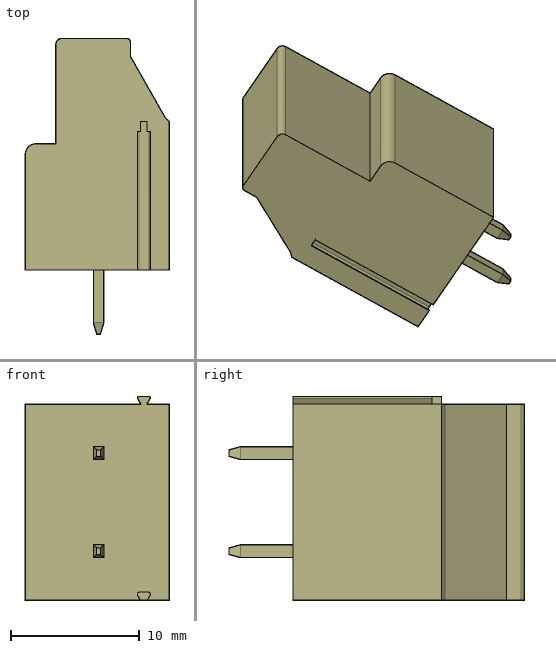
import cadquery as cq

TOTAL_LENGTH = 23

HOUSING_WIDTH = 11.2
HOUSING_DEPTH = 18.0
HOUSING_HEIGHT = 15.25
SHOULDER_WIDTH = 2.37
SHOULDER_DEPTH = 9.82
SHOULDER_RADIUS = 0.83
TOWER_RIGHT = 8.19
TOWER_LEFT_RADIUS = 0.48
TOWER_RIGHT_RADIUS = 0.3
SLOPE_REAR = 16.6
SLOPE_FRONT = (10.9, 11.82)
SIDE_REAR = 11.55

DOVETAIL_X = 9.22
DOVETAIL_LENGTH = 10.79
TONGUE_LENGTH = 11.55
RAIL_HEIGHT = 0.6
RAIL_NECK = 0.5
RAIL_TOP = 1.17
RAIL_RADIUS = 0.12
GROOVE_HEIGHT = 0.65
GROOVE_MOUTH = 0.55
GROOVE_TOP = 1.26
GROOVE_RADIUS = 0.18

POLES = 2
PITCH = HOUSING_HEIGHT / POLES
PIN_X = 5.7
PIN_WIDTH = 0.83
PIN_HEIGHT = 1.01
PIN_LENGTH = TOTAL_LENGTH - HOUSING_DEPTH
TIP_LENGTH = 0.9
TIP_WIDTH = 0.3
TIP_HEIGHT = 0.5


def make_housing():
    """Stepped block with a sloped +X rear corner."""
    outline = [
        (0, 0),
        (HOUSING_WIDTH, 0),
        (HOUSING_WIDTH, SIDE_REAR),
        SLOPE_FRONT,
        (TOWER_RIGHT, SLOPE_REAR),
        (TOWER_RIGHT, HOUSING_DEPTH),
        (SHOULDER_WIDTH, HOUSING_DEPTH),
        (SHOULDER_WIDTH, SHOULDER_DEPTH),
        (0, SHOULDER_DEPTH),
    ]
    housing = cq.Workplane("XY").polyline(outline).close().extrude(HOUSING_HEIGHT)
    rounded_corners = [
        (0, SHOULDER_DEPTH, SHOULDER_RADIUS),
        (SHOULDER_WIDTH, HOUSING_DEPTH, TOWER_LEFT_RADIUS),
        (TOWER_RIGHT, HOUSING_DEPTH, TOWER_RIGHT_RADIUS),
    ]
    for x, y, radius in rounded_corners:
        corner = cq.selectors.NearestToPointSelector((x, y, HOUSING_HEIGHT / 2))
        housing = housing.edges("|Z").edges(corner).fillet(radius)
    return housing


def make_dovetail(base_z, neck, top, height, radius):
    """Bar along Y that widens from its neck to a top with rounded edges."""
    outline = [
        (-neck / 2, 0),
        (neck / 2, 0),
        (top / 2, height),
        (-top / 2, height),
    ]
    bar = cq.Workplane("XZ").polyline(outline).close().extrude(-DOVETAIL_LENGTH)
    bar = bar.edges("|Y and >Z").fillet(radius)
    return bar.translate((DOVETAIL_X, 0, base_z))


def make_tongue():
    """Straight core of the rail, as wide as its neck."""
    size = (RAIL_NECK, TONGUE_LENGTH, RAIL_HEIGHT)
    tongue = cq.Workplane("XY").box(*size, centered=(True, False, False))
    return tongue.translate((DOVETAIL_X, 0, HOUSING_HEIGHT))


def make_pin(z):
    """Rectangular pin along -Y with a tapered tip."""
    shank_length = PIN_LENGTH - TIP_LENGTH
    shank = cq.Workplane("XZ").rect(PIN_WIDTH, PIN_HEIGHT).extrude(shank_length)
    tip = (
        cq.Workplane("XZ", origin=(0, -shank_length, 0))
        .rect(PIN_WIDTH, PIN_HEIGHT)
        .workplane(offset=TIP_LENGTH)
        .rect(TIP_WIDTH, TIP_HEIGHT)
        .loft(ruled=True)
    )
    return shank.union(tip).translate((PIN_X, 0, z))


rail = make_dovetail(HOUSING_HEIGHT, RAIL_NECK, RAIL_TOP, RAIL_HEIGHT, RAIL_RADIUS)
groove = make_dovetail(0, GROOVE_MOUTH, GROOVE_TOP, GROOVE_HEIGHT, GROOVE_RADIUS)

result = make_housing().union(rail).union(make_tongue()).cut(groove)
for pole in range(POLES):
    result = result.union(make_pin((pole + 0.5) * PITCH))